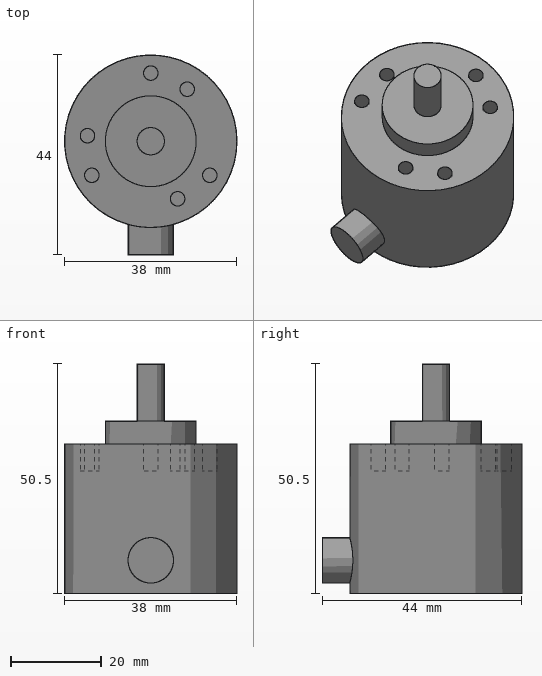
import cadquery as cq

total_height = 50.5
body_diameter = 38.0
body_height = 33.0
boss_diameter = 20.0
boss_height = 5.0
shaft_diameter = 6.0

outlet_diameter = 10.0
outlet_reach = 25.0
outlet_height = 7.3

hole_diameter = 3.2
hole_depth = 6.0
holes_per_ring = 3
outer_ring_radius = 15.0
outer_ring_start = 90.0
inner_ring_radius = 14.0
inner_ring_start = 55.0


def cylinder(diameter, height, base_z):
    """Upright cylinder on the shaft axis."""
    return cq.Workplane("XY").workplane(offset=base_z).circle(diameter / 2).extrude(height)


def hole_ring(radius, start_angle):
    """Cutting cylinders evenly spaced around the shaft axis, open at the body top."""
    return (
        cq.Workplane("XY")
        .workplane(offset=body_height)
        .polarArray(radius, start_angle, 360, holes_per_ring)
        .circle(hole_diameter / 2)
        .extrude(-hole_depth)
    )


boss_top = body_height + boss_height
body = cylinder(body_diameter, body_height, 0)
boss = cylinder(boss_diameter, boss_height, body_height)
shaft = cylinder(shaft_diameter, total_height - boss_top, boss_top)

outlet = (
    cq.Workplane("XZ")
    .center(0, outlet_height)
    .circle(outlet_diameter / 2)
    .extrude(outlet_reach)
)

result = (
    body.union(boss)
    .union(shaft)
    .union(outlet)
    .cut(hole_ring(outer_ring_radius, outer_ring_start))
    .cut(hole_ring(inner_ring_radius, inner_ring_start))
)